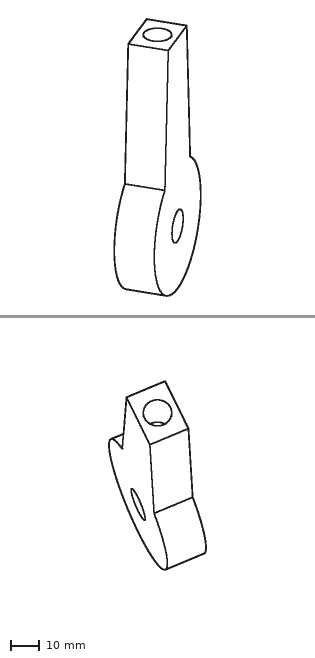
import cadquery as cq

thickness = 15.0
total_height = 100.0
disc_diameter = 50.0
bore_diameter = 12.0
arm_tip_width = 20.0
arm_root_width = 30.0
socket_diameter = 10.0
socket_depth = 20.0

tip_height = total_height - disc_diameter / 2


def plate():
    """Sketch plane across the part, extruded evenly to both sides."""
    return cq.Workplane("YZ")


def disc():
    return plate().circle(disc_diameter / 2).extrude(thickness / 2, both=True)


def tapered_arm():
    outline = [
        (-arm_root_width / 2, 0),
        (arm_root_width / 2, 0),
        (arm_tip_width / 2, tip_height),
        (-arm_tip_width / 2, tip_height),
    ]
    return plate().polyline(outline).close().extrude(thickness / 2, both=True)


def bore():
    """Through hole at the disc centre."""
    return plate().circle(bore_diameter / 2).extrude(thickness, both=True)


def tip_socket():
    """Flat-bottomed blind hole running down from the arm tip."""
    tip = cq.Workplane("XY").workplane(offset=tip_height)
    return tip.circle(socket_diameter / 2).extrude(-socket_depth)


result = disc().union(tapered_arm()).cut(bore()).cut(tip_socket())